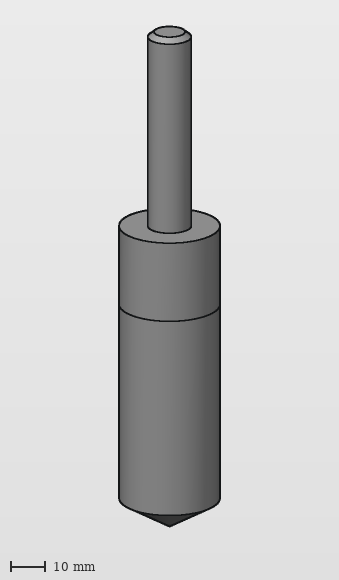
import cadquery as cq
import math

total_height = 152.4
body_diameter = 29.3
shank_diameter = 12.6
tip_angle = 118.0
joint_height = 68.6
shoulder_height = 92.7
chamfer_width = 1.8
chamfer_height = 1.5

body_radius = body_diameter / 2
shank_radius = shank_diameter / 2
tip_height = body_radius / math.tan(math.radians(tip_angle / 2))


def make_head():
    """Cylinder with a conical point at its lower end."""
    profile = (
        cq.Workplane("XZ")
        .moveTo(0, 0)
        .lineTo(body_radius, tip_height)
        .lineTo(body_radius, joint_height)
        .lineTo(0, joint_height)
        .close()
    )
    return profile.revolve(360, (0, 0, 0), (0, 1, 0))


def make_holder():
    """Wide collar, resting on the head, with a slim chamfered shank."""
    profile = (
        cq.Workplane("XZ")
        .moveTo(0, joint_height)
        .lineTo(body_radius, joint_height)
        .lineTo(body_radius, shoulder_height)
        .lineTo(shank_radius, shoulder_height)
        .lineTo(shank_radius, total_height - chamfer_height)
        .lineTo(shank_radius - chamfer_width, total_height)
        .lineTo(0, total_height)
        .close()
    )
    return profile.revolve(360, (0, 0, 0), (0, 1, 0))


head = make_head()
holder = make_holder()

result = cq.Compound.makeCompound([head.val(), holder.val()])